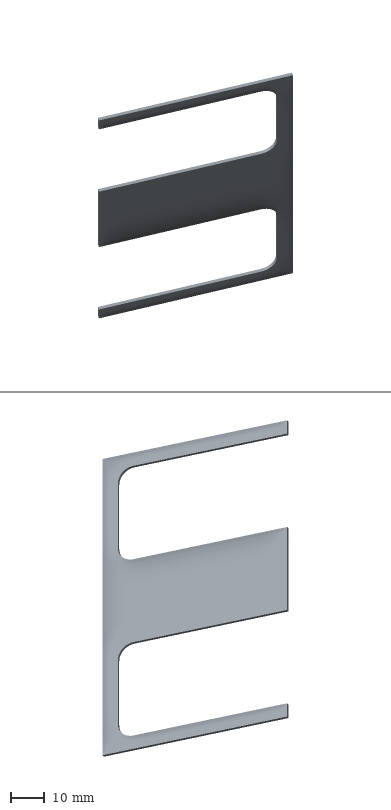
import cadquery as cq

thickness = 1.0
width = 60.0
height = 100.0

spine_width = 5.0
outer_arm_height = 4.5
center_arm_height = 28.0
corner_radius = 5.0

window_width = width - spine_width
window_height = (height - center_arm_height) / 2 - outer_arm_height
window_offset = (center_arm_height + window_height) / 2


def window(center_z):
    """Slot open toward -Y, with rounded corners at the spine."""
    return (
        cq.Workplane("XY")
        .box(thickness, window_width, window_height)
        .edges("|X and >Y")
        .fillet(corner_radius)
        .translate((0, -spine_width / 2, center_z))
    )


result = cq.Workplane("XY").box(thickness, width, height)
for side in (-1, 1):
    result = result.cut(window(side * window_offset))